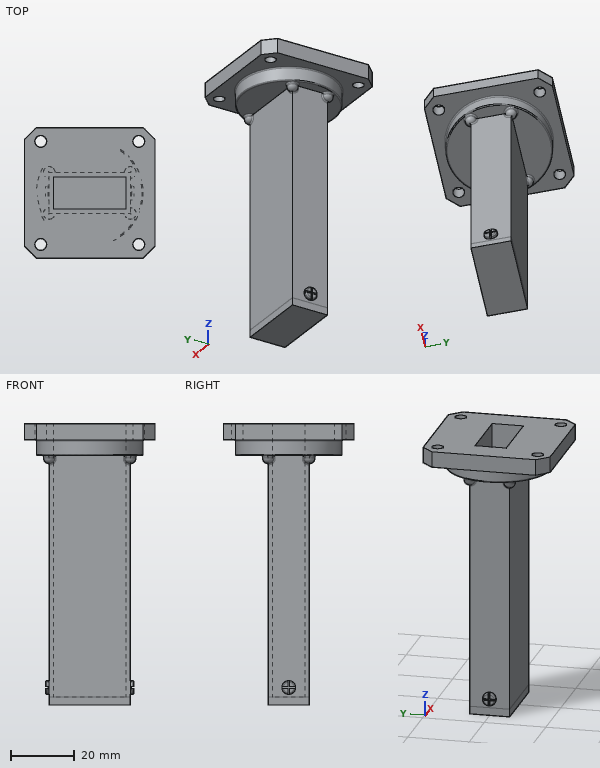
import cadquery as cq

TOTAL_HEIGHT = 88.9
FLANGE_SIDE = 41.25
FLANGE_THICKNESS = 5.2
COLLAR_DIAMETER = 33.7
COLLAR_HEIGHT = 4.9
COLLAR_FILLET = 0.4
TUBE_WIDTH = 25.6
TUBE_DEPTH = 13.0
BORE_WIDTH = 22.85
BORE_DEPTH = 10.1
END_CAP_THICKNESS = 2.6

HOLE_DIAMETER = 3.65
HOLE_SPACING_X = 30.9
HOLE_SPACING_Y = 32.5

BEAD_DIAMETER = 3.65
BEAD_NECK_HEIGHT = 0.8
BEAD_BLEND_RADIUS = 0.45

SCREW_DIAMETER = 4.4
SCREW_HEAD_HEIGHT = 1.2
SCREW_HEAD_FILLET = 0.45
SCREW_AXIS_HEIGHT = 5.6
SLOT_WIDTH = 0.5
SLOT_DEPTH = 0.8

TOLERANCE = 0.01

FLANGE_BOTTOM = TOTAL_HEIGHT - FLANGE_THICKNESS
COLLAR_BOTTOM = FLANGE_BOTTOM - COLLAR_HEIGHT
BEAD_CENTER_HEIGHT = COLLAR_BOTTOM - BEAD_NECK_HEIGHT
FLANGE_CORNER_CHAMFER = (FLANGE_SIDE - COLLAR_DIAMETER) / 2


def make_flange():
    """Square flange with chamfered corners and four through holes."""
    return (
        cq.Workplane("XY", origin=(0, 0, FLANGE_BOTTOM))
        .rect(FLANGE_SIDE, FLANGE_SIDE)
        .extrude(FLANGE_THICKNESS)
        .edges("|Z")
        .chamfer(FLANGE_CORNER_CHAMFER)
        .faces(">Z")
        .workplane()
        .rect(HOLE_SPACING_X, HOLE_SPACING_Y, forConstruction=True)
        .vertices()
        .hole(HOLE_DIAMETER)
    )


def make_collar():
    """Round collar with a rounded lower rim, flaring out into the flange above."""
    radius = COLLAR_DIAMETER / 2
    collar = (
        cq.Workplane("XY", origin=(0, 0, COLLAR_BOTTOM))
        .circle(radius)
        .extrude(COLLAR_HEIGHT)
        .faces("<Z")
        .fillet(COLLAR_FILLET)
    )
    flare = (
        cq.Workplane("XZ")
        .moveTo(0, FLANGE_BOTTOM)
        .lineTo(radius + COLLAR_FILLET, FLANGE_BOTTOM)
        .radiusArc((radius, FLANGE_BOTTOM - COLLAR_FILLET), -COLLAR_FILLET)
        .lineTo(0, FLANGE_BOTTOM - COLLAR_FILLET)
        .close()
        .revolve(axisStart=(0, 0, 0), axisEnd=(0, 1, 0))
    )
    return collar.union(flare)


def make_beads():
    """Short necks with hemispherical ends at the four tube corners."""
    radius = BEAD_DIAMETER / 2
    corners = (
        cq.Workplane("XY", origin=(0, 0, BEAD_CENTER_HEIGHT))
        .rect(TUBE_WIDTH, TUBE_DEPTH, forConstruction=True)
        .vertices()
    )
    necks = corners.circle(radius).extrude(BEAD_NECK_HEIGHT)
    return necks.union(corners.sphere(radius))


def is_bead_junction(edge):
    """True for an edge where a bead meets a tube wall or the collar underside."""
    box = edge.BoundingBox()
    is_short = max(box.xlen, box.ylen) < BEAD_DIAMETER + TOLERANCE
    is_beside_bead = box.zmin > BEAD_CENTER_HEIGHT - BEAD_DIAMETER and box.zmax < COLLAR_BOTTOM + TOLERANCE
    is_on_wall = min(box.xlen, box.ylen) < TOLERANCE
    is_on_collar = box.zmin > COLLAR_BOTTOM - TOLERANCE
    return is_short and is_beside_bead and (is_on_wall or is_on_collar)


def make_tube_with_collar():
    """Rectangular tube and collar, joined by blended beads at the four corners."""
    tube_height = FLANGE_BOTTOM - END_CAP_THICKNESS
    tube = (
        cq.Workplane("XY", origin=(0, 0, END_CAP_THICKNESS))
        .rect(TUBE_WIDTH, TUBE_DEPTH)
        .extrude(tube_height)
    )
    body = tube.union(make_collar()).union(make_beads())
    return body.edges().filter(is_bead_junction).fillet(BEAD_BLEND_RADIUS)


def make_end_cap():
    """Flat plate that closes the lower end of the tube."""
    return cq.Workplane("XY").rect(TUBE_WIDTH, TUBE_DEPTH).extrude(END_CAP_THICKNESS)


def make_screw_head():
    """Cross-slotted screw head on the +X wall."""
    head = (
        cq.Workplane("YZ", origin=(TUBE_WIDTH / 2, 0, SCREW_AXIS_HEIGHT))
        .circle(SCREW_DIAMETER / 2)
        .extrude(SCREW_HEAD_HEIGHT)
        .faces(">X")
        .edges()
        .fillet(SCREW_HEAD_FILLET)
    )
    slot_layout = cq.Workplane("YZ", origin=(TUBE_WIDTH / 2 + SCREW_HEAD_HEIGHT, 0, SCREW_AXIS_HEIGHT))
    level_slot = slot_layout.rect(SCREW_DIAMETER, SLOT_WIDTH).extrude(-SLOT_DEPTH)
    upright_slot = slot_layout.rect(SLOT_WIDTH, SCREW_DIAMETER).extrude(-SLOT_DEPTH)
    return head.cut(level_slot).cut(upright_slot)


def make_bore():
    """Rectangular waveguide channel, closed by the end cap."""
    return (
        cq.Workplane("XY", origin=(0, 0, END_CAP_THICKNESS))
        .rect(BORE_WIDTH, BORE_DEPTH)
        .extrude(TOTAL_HEIGHT - END_CAP_THICKNESS)
    )


screw_head = make_screw_head()

result = (
    make_tube_with_collar()
    .union(make_flange())
    .cut(make_bore())
    .union(screw_head)
    .union(screw_head.mirror("YZ"))
    .union(make_end_cap(), clean=False)
)